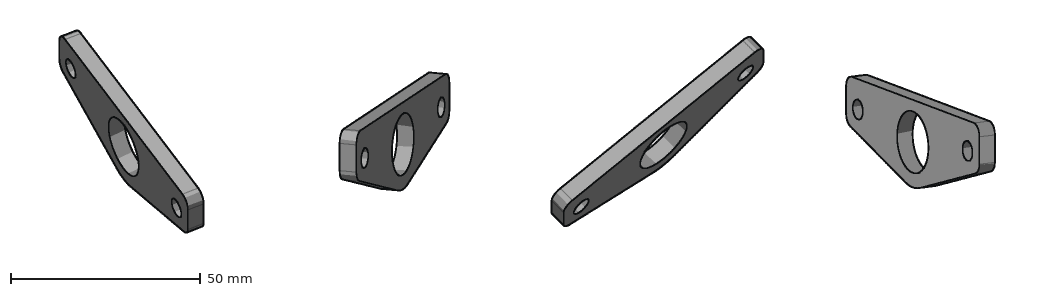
import cadquery as cq
import math

length = 71.1
thickness = 4.8
top_height = 11.45
bottom_radius = 12.3
taper_angle = math.radians(18.0)
corner_radius = 3.1
bore_diameter = 16.65
bolt_hole_diameter = 5.3
bolt_hole_spacing = 58.45
bolt_hole_height = 3.2

half_length = length / 2
tangent_x = bottom_radius * math.sin(taper_angle)
tangent_z = -bottom_radius * math.cos(taper_angle)
end_bottom_z = tangent_z + (half_length - tangent_x) * math.tan(taper_angle)


def make_plate():
    """Tapered plate with its four end corners rounded."""
    plate = (
        cq.Workplane("XZ", origin=(0, thickness / 2, 0))
        .moveTo(-half_length, top_height)
        .lineTo(half_length, top_height)
        .lineTo(half_length, end_bottom_z)
        .lineTo(tangent_x, tangent_z)
        .threePointArc((0, -bottom_radius), (-tangent_x, tangent_z))
        .lineTo(-half_length, end_bottom_z)
        .close()
        .extrude(thickness)
    )
    end_corners = plate.faces("<X or >X").edges("|Y")
    return end_corners.fillet(corner_radius)


def make_hole(diameter, x, z):
    """Cutter through the full thickness of the plate."""
    return (
        cq.Workplane("XZ", origin=(0, thickness / 2, 0))
        .center(x, z)
        .circle(diameter / 2)
        .extrude(thickness)
    )


result = make_plate().cut(make_hole(bore_diameter, 0, 0))
for side in (-1, 1):
    bolt_hole_x = side * bolt_hole_spacing / 2
    result = result.cut(make_hole(bolt_hole_diameter, bolt_hole_x, bolt_hole_height))